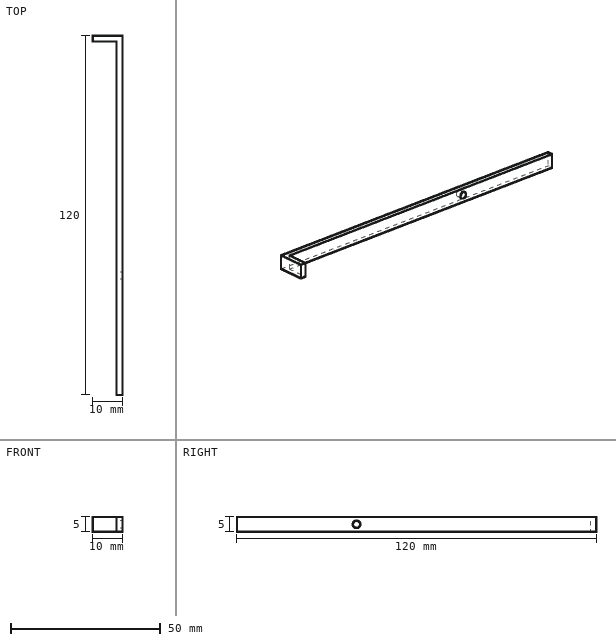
import cadquery as cq

length = 120.0
foot_reach = 10.0
height = 5.0
thickness = 2.0
hole_diameter = 2.4
hole_from_free_end = 40.0

long_arm = cq.Workplane("XY").box(thickness, length, height, centered=False)
long_arm = long_arm.translate((foot_reach - thickness, 0, 0))

foot = cq.Workplane("XY").box(foot_reach, thickness, height, centered=False)
foot = foot.translate((0, length - thickness, 0))

hole = (
    cq.Workplane("YZ")
    .center(hole_from_free_end, height / 2)
    .circle(hole_diameter / 2)
    .extrude(foot_reach)
)

result = long_arm.union(foot).cut(hole)